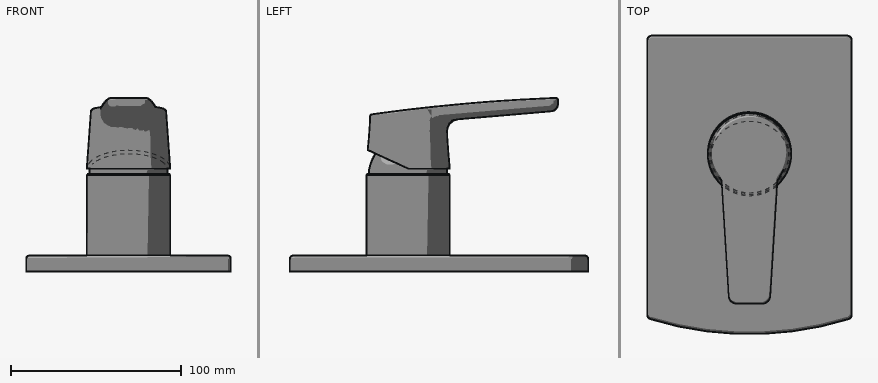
import cadquery as cq


plate_width = 120.0
plate_length = 175.0
plate_thickness = 9.5
plate_back = 69.3
plate_front = plate_back - plate_length
bow_height = 9.5
plate_corner_radius = 3.2
plate_edge_radius = 2.1

column_radius = 24.5
column_top = 57.2
column_chamfer = 0.7
neck_radius = 23.0
neck_bottom = column_top - 1.8
neck_straight_top = 59.5
neck_dome_top = 70.0
neck_dome_radius = 18.5
neck_dome_mid = (21.5, 64.4)

head_bottom = 60.4
head_bottom_radius = column_radius
head_top_radius = 21.5
relief_back_height = 71.5

total_height = 101.8
lever_tip = -87.8
lever_axis_half_width = 17.3
lever_tip_half_width = 11.9
lever_tip_radius = 4.9
lever_under_radius = 4.5
lever_underside_axis = 86.6
lever_underside_tip = 94.2
blend_radius = 6.6
top_edge_radius = 1.4

junction_back = -1.8
junction_margin = 0.4

top_back = (column_radius, 91.7)
top_middle = (-21.5, 97.3)
top_front = (lever_tip, total_height)
cutter_top = total_height + 1.8


def make_plate():
    half_width = plate_width / 2
    side_end = plate_front + bow_height
    plate = (
        cq.Workplane("XY")
        .moveTo(-half_width, plate_back)
        .lineTo(half_width, plate_back)
        .lineTo(half_width, side_end)
        .threePointArc((0, plate_front), (-half_width, side_end))
        .close()
        .extrude(plate_thickness)
    )
    plate = plate.edges("|Z").fillet(plate_corner_radius)
    return plate.faces(">Z").edges().fillet(plate_edge_radius)


def make_column():
    column = cq.Workplane("XY").circle(column_radius).extrude(column_top)
    return column.faces(">Z").edges().chamfer(column_chamfer)


def make_neck():
    return (
        cq.Workplane("XZ")
        .moveTo(0, neck_bottom)
        .lineTo(neck_radius, neck_bottom)
        .lineTo(neck_radius, neck_straight_top)
        .threePointArc(neck_dome_mid, (neck_dome_radius, neck_dome_top))
        .lineTo(0, neck_dome_top)
        .close()
        .revolve(360, (0, 0), (0, 1))
    )


def make_head():
    head = (
        cq.Workplane("XZ")
        .moveTo(0, head_bottom)
        .lineTo(head_bottom_radius, head_bottom)
        .lineTo(head_top_radius, total_height)
        .lineTo(0, total_height)
        .close()
        .revolve(360, (0, 0), (0, 1))
    )
    relief = (
        cq.Workplane("YZ")
        .moveTo(0, head_bottom)
        .lineTo(column_radius, relief_back_height)
        .lineTo(column_radius, head_bottom)
        .close()
        .extrude(column_radius, both=True)
    )
    return head.cut(relief)


def make_lever():
    lever = (
        cq.Workplane("XY", origin=(0, 0, head_bottom))
        .moveTo(-lever_axis_half_width, 0)
        .lineTo(-lever_tip_half_width, lever_tip)
        .lineTo(lever_tip_half_width, lever_tip)
        .lineTo(lever_axis_half_width, 0)
        .close()
        .extrude(total_height - head_bottom)
    )
    lever = lever.edges("|Z and <Y").fillet(lever_tip_radius)
    below = (
        cq.Workplane("YZ")
        .moveTo(0, lever_underside_axis)
        .lineTo(lever_tip, lever_underside_tip)
        .lineTo(lever_tip, head_bottom)
        .lineTo(0, head_bottom)
        .close()
        .extrude(column_radius, both=True)
    )
    lever = lever.cut(below)
    return lever.faces("<Z").edges("not >Y").fillet(lever_under_radius)


def make_handle():
    head_and_lever = make_head().union(make_lever())
    junction_box = cq.selectors.BoxSelector(
        (-column_radius, -column_radius, lever_underside_axis - junction_margin),
        (column_radius, junction_back, total_height - junction_margin),
    )
    junction = head_and_lever.edges(junction_box).edges("%ELLIPSE or %HYPERBOLA or %BSPLINE")
    blended = junction.fillet(blend_radius)
    above = (
        cq.Workplane("YZ")
        .moveTo(*top_back)
        .threePointArc(top_middle, top_front)
        .lineTo(lever_tip, cutter_top)
        .lineTo(column_radius, cutter_top)
        .close()
        .extrude(column_radius, both=True)
    )
    handle = blended.cut(above)
    return handle.faces(">Z").edges().fillet(top_edge_radius)


result = make_plate().union(make_column()).union(make_neck()).union(make_handle())